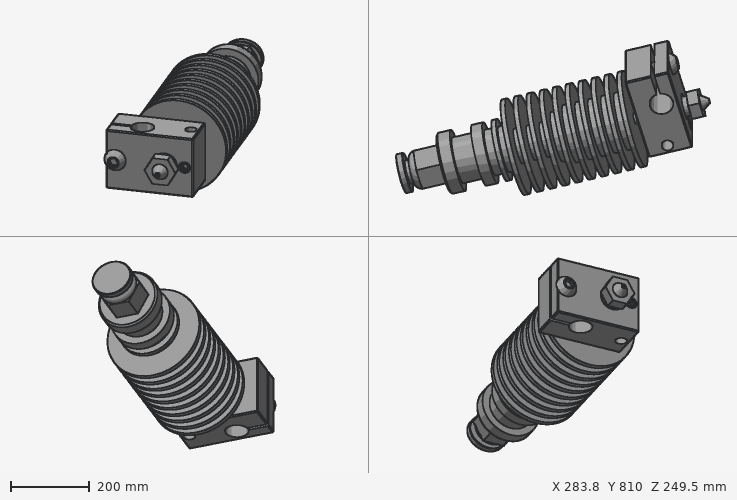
import cadquery as cq
import math


CORNERS_PER_FLAT = 1 / math.cos(math.pi / 6)

orifice_dia = 4.0
tip_dia = 12.0
cone_dia = 41.0
cone_length = 21.0
nozzle_hex_flats = 70.5
nozzle_hex_length = 30.0
nozzle_neck_dia = 52.0
nozzle_neck_length = 14.0
nozzle_seat_depth = 49.0
exposed_nozzle_length = cone_length + nozzle_hex_length + nozzle_neck_length
nozzle_length = exposed_nozzle_length + nozzle_seat_depth

block_width = 230.0
block_length = 115.0
block_height = 160.0
block_center_x = -40.0
block_chamfer = 3.0
block_front_y = exposed_nozzle_length
block_back_y = block_front_y + block_length
block_left_x = block_center_x - block_width / 2
heater_hole_dia = 60.0
heater_x = -70.0
heater_y = block_front_y + 42.0
nozzle_countersink = 7.0
clamp_slot_width = 10.0
sensor_hole_dia = 30.0
sensor_x = 53.0
sensor_y = block_front_y + 60.0
grub_countersink = 2.5

clamp_shank_dia = 30.0
clamp_screw_x = -130.5
clamp_shank_length = 100.0
button_dia = 57.0
button_top_dia = 30.0
button_height = 17.0
button_bulge = 2.0
clamp_socket_flats = 21.0
clamp_socket_depth = 10.0
grub_dia = 25.0
grub_recess = 4.0
grub_length = 20.0
grub_chamfer = 2.0
grub_socket_flats = 14.5
grub_socket_depth = 10.0

heat_break_dia = 28.0
heat_break_length = 17.0
heatsink_front_y = block_back_y + heat_break_length

fin_count = 10
fin_dia = 249.5
fin_thickness = 12.0
fin_pitch = 34.0
wide_core_dia = 150.0
wide_gaps = 5
middle_core_dia = 130.0
middle_gaps = 1
narrow_core_dia = 91.0
neck_dia = 120.0
collar_dia = 159.5
neck_gap = 24.0
thin_collar = 12.0
thick_collar = 29.0
mount_groove = 56.0
top_collar = 36.5
top_collar_chamfer = 5.0
fin_stack_length = (fin_count - 1) * fin_pitch + fin_thickness
neck_front_y = heatsink_front_y + fin_stack_length
neck_length = 2 * neck_gap + thin_collar + thick_collar + mount_groove + top_collar
heatsink_back_y = neck_front_y + neck_length

fitting_hex_flats = 100.0
fitting_hex_length = 66.0
dome_height = 19.5
release_neck_dia = 61.0
release_neck_length = 10.0
release_ring_width = 104.5
release_ring_height = 95.0
release_ring_chamfer = 2.0
overall_length = 810.0


def disc(dia, start_y, length):
    """Cylinder about the filament axis, running toward +Y from start_y."""
    outline = cq.Workplane("XY", origin=(0, start_y, 0)).rect(-dia / 2, length, centered=False)
    return outline.revolve(360, (0, 0, 0), (0, 1, 0))


def rod_along_y(dia, x, start_y, length):
    """Cylinder parallel to Y at Z = 0, running toward +Y from start_y."""
    return cq.Workplane("XZ", origin=(x, start_y, 0)).circle(dia / 2).extrude(-length)


def rod_along_z(dia, x, y):
    """Cylinder parallel to Z, as long as the block is high."""
    return cq.Workplane("XY", origin=(x, y, 0)).circle(dia / 2).extrude(block_height / 2, both=True)


def hex_bar(flats, x, start_y, length):
    """Hexagonal bar parallel to Y with corners on +X and -X, running toward +Y from start_y."""
    sketch = cq.Workplane("XZ", origin=(x, start_y, 0)).polygon(6, flats * CORNERS_PER_FLAT)
    return sketch.extrude(-length)


def make_nozzle():
    cone_outline = (
        cq.Workplane("XY")
        .polyline([(0, 0), (-tip_dia / 2, 0), (-cone_dia / 2, cone_length), (0, cone_length)])
        .close()
    )
    cone = cone_outline.revolve(360, (0, 0, 0), (0, 1, 0))
    hexagon = hex_bar(nozzle_hex_flats, 0, cone_length, nozzle_hex_length)
    neck = disc(nozzle_neck_dia, cone_length + nozzle_hex_length, nozzle_neck_length + nozzle_seat_depth)
    orifice = rod_along_y(orifice_dia, 0, 0, nozzle_length)
    return cone.union(hexagon).union(neck).cut(orifice)


def countersink(hole_dia, x, depth):
    """45 degree cone that widens the mouth of a hole in the front face of the block."""
    mouth = cq.Workplane("XZ", origin=(x, block_front_y, 0)).circle(hole_dia / 2 + depth)
    return mouth.extrude(-depth, taper=45)


def make_heater_block():
    block = (
        cq.Workplane("XY", origin=(block_center_x, block_front_y + block_length / 2, 0))
        .box(block_width, block_length, block_height)
        .edges()
        .chamfer(block_chamfer)
    )
    slot_length = heater_x - block_left_x
    clamp_slot = cq.Workplane("XY", origin=(block_left_x + slot_length / 2, heater_y, 0)).box(
        slot_length, clamp_slot_width, block_height
    )
    cutters = [
        clamp_slot,
        rod_along_z(heater_hole_dia, heater_x, heater_y),
        rod_along_z(sensor_hole_dia, sensor_x, sensor_y),
        rod_along_y(clamp_shank_dia, clamp_screw_x, block_front_y, clamp_shank_length),
        rod_along_y(nozzle_neck_dia, 0, block_front_y, nozzle_seat_depth),
        countersink(nozzle_neck_dia, 0, nozzle_countersink),
        rod_along_y(grub_dia, sensor_x, block_front_y, sensor_y - block_front_y),
        countersink(grub_dia, sensor_x, grub_countersink),
    ]
    for cutter in cutters:
        block = block.cut(cutter)
    return block


def make_clamp_screw():
    head_front_y = block_front_y - button_height
    head_outline = (
        cq.Workplane("XY", origin=(clamp_screw_x, block_front_y, 0))
        .lineTo(-button_dia / 2, 0)
        .sagittaArc((-button_top_dia / 2, -button_height), -button_bulge)
        .lineTo(0, -button_height)
        .close()
    )
    head = head_outline.revolve(360, (0, 0, 0), (0, 1, 0))
    shank = rod_along_y(clamp_shank_dia, clamp_screw_x, block_front_y, clamp_shank_length)
    socket = hex_bar(clamp_socket_flats, clamp_screw_x, head_front_y, clamp_socket_depth)
    return head.union(shank).cut(socket)


def make_grub_screw():
    grub_front_y = block_front_y + grub_recess
    grub = rod_along_y(grub_dia, sensor_x, grub_front_y, grub_length).faces("<Y").chamfer(grub_chamfer)
    socket = hex_bar(grub_socket_flats, sensor_x, grub_front_y, grub_socket_depth)
    return grub.cut(socket)


def make_heat_break():
    return disc(heat_break_dia, block_back_y, heat_break_length)


def make_finned_core():
    fins = disc(fin_dia, heatsink_front_y, fin_thickness)
    for index in range(1, fin_count):
        fins = fins.union(disc(fin_dia, heatsink_front_y + index * fin_pitch, fin_thickness))
    narrow_gaps = fin_count - 1 - wide_gaps - middle_gaps
    core_steps = [
        (wide_core_dia, wide_gaps),
        (middle_core_dia, middle_gaps),
        (narrow_core_dia, narrow_gaps),
    ]
    y = heatsink_front_y
    for dia, gaps in core_steps:
        fins = fins.union(disc(dia, y, gaps * fin_pitch))
        y += gaps * fin_pitch
    return fins


def make_heatsink():
    heatsink = make_finned_core()
    neck_steps = [
        (neck_dia, neck_gap),
        (collar_dia, thin_collar),
        (neck_dia, neck_gap),
        (collar_dia, thick_collar),
        (neck_dia, mount_groove),
        (collar_dia, top_collar),
    ]
    y = neck_front_y
    for dia, length in neck_steps:
        heatsink = heatsink.union(disc(dia, y, length))
        y += length
    return heatsink.faces(">Y").edges().chamfer(top_collar_chamfer)


def make_tube_fitting():
    dome_y = heatsink_back_y + fitting_hex_length
    release_neck_y = dome_y + dome_height
    release_ring_y = release_neck_y + release_neck_length
    hexagon = hex_bar(fitting_hex_flats, 0, heatsink_back_y, fitting_hex_length)
    dome = disc(fitting_hex_flats, dome_y - dome_height, 2 * dome_height)
    dome = dome.faces(">Y").edges().fillet(dome_height)
    release_neck = disc(release_neck_dia, release_neck_y, release_neck_length)
    release_ring = (
        cq.Workplane("XZ", origin=(0, release_ring_y, 0))
        .ellipse(release_ring_width / 2, release_ring_height / 2)
        .extrude(release_ring_y - overall_length)
    )
    release_ring = release_ring.faces(">Y or <Y").edges().chamfer(release_ring_chamfer)
    return hexagon.union(dome).union(release_neck).union(release_ring)


nozzle = make_nozzle()
heater_block = make_heater_block()
clamp_screw = make_clamp_screw()
grub_screw = make_grub_screw()
heat_break = make_heat_break()
heatsink = make_heatsink()
tube_fitting = make_tube_fitting()

result = cq.Compound.makeCompound(
    [
        nozzle.val(),
        heater_block.val(),
        clamp_screw.val(),
        grub_screw.val(),
        heat_break.val(),
        heatsink.val(),
        tube_fitting.val(),
    ]
)